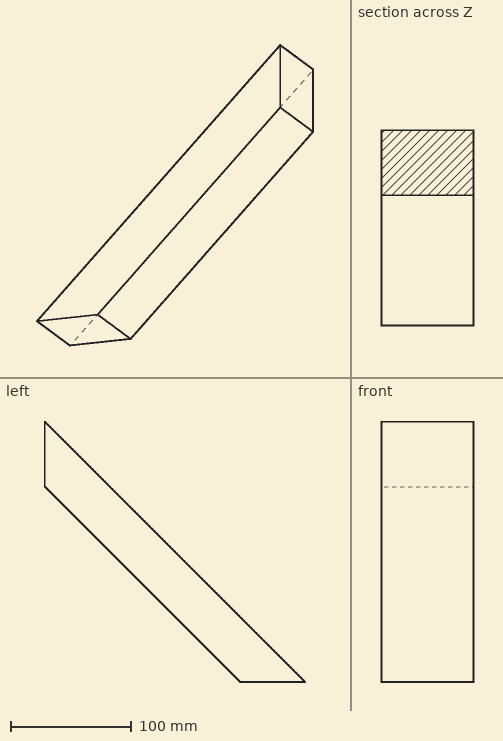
import cadquery as cq

width = 76.3
reach = 215.5
end_length = 53.9

profile = [
    (0, 0),
    (end_length, 0),
    (reach, reach - end_length),
    (reach, reach),
]

result = cq.Workplane("YZ").polyline(profile).close().extrude(width / 2, both=True)